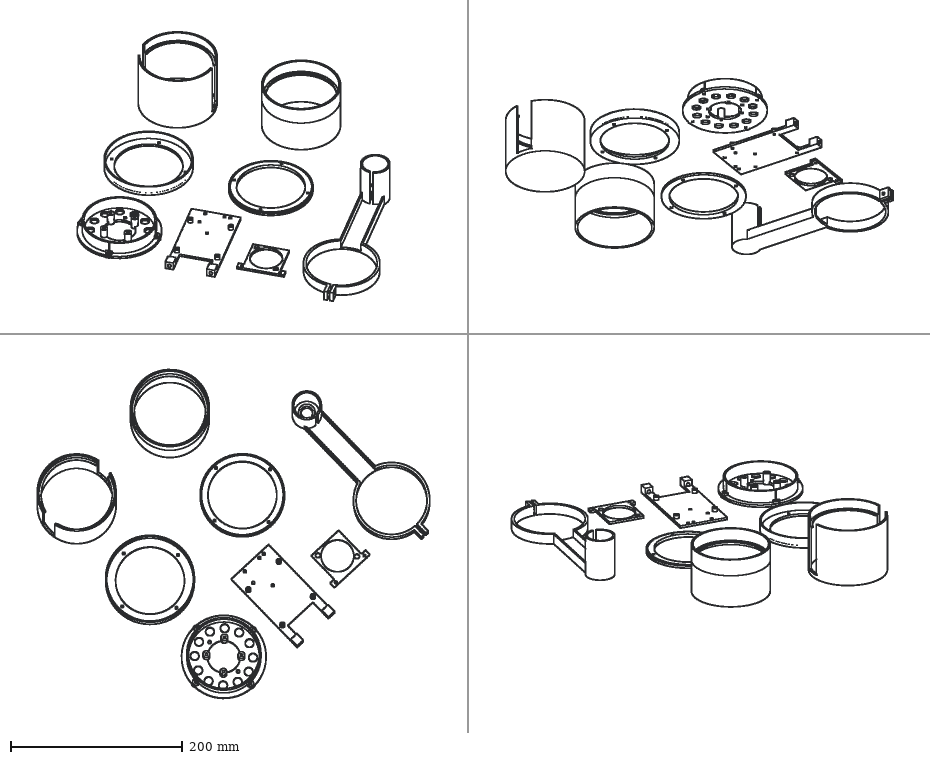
import cadquery as cq
SHEET = 3.0
CAN_OD = 92.5
CAN_BORE = 87.0
SOCKET_DIA = 88.5
LIP_ID = 83.0
LIP_HEIGHT = 1.5
WINDOW_DIA = 80.3
SCREW_DIA = 2.8
SCREW_CIRCLE_R = 44.7
QUARTER_TURNS = (0, 90, 180, 270)

LEFT_X = 52.0
CAN_Y = 306.5
RING_Y = 181.8
BASE_Y = 56.5
SLEEVE_X = 202.0
COVER_X = 200.5


def cylinder(diameter, height, x=0.0, y=0.0, z=0.0):
    """Upright cylinder standing on height z."""
    return cq.Workplane("XY", origin=(x, y, z)).circle(diameter / 2).extrude(height)


def tube(outer, inner, height, z=0.0):
    """Upright tube standing on height z."""
    return cylinder(outer, height, z=z).cut(cylinder(inner, height, z=z))


def box(width, depth, height, x=0.0, y=0.0, z=0.0):
    """Box centred on x and y, standing on height z."""
    return cq.Workplane("XY", origin=(x, y, z)).rect(width, depth).extrude(height)


def around(feature, angles):
    """Copies of a feature turned about the Z axis, joined together."""
    copies = cq.Workplane("XY")
    for angle in angles:
        copies = copies.union(feature.rotate((0, 0, 0), (0, 0, 1), angle))
    return copies


def cut_upper_end(can, top, socket_depth):
    """Put a socket into the upper end of a can, with a narrow lip as its seat."""
    socket_z = top - socket_depth
    can = can.union(tube(CAN_OD, LIP_ID, LIP_HEIGHT, z=socket_z - LIP_HEIGHT))
    return can.cut(cylinder(SOCKET_DIA, socket_depth, z=socket_z))


CUP_HEIGHT = 70.0
CUP_SOCKET_DEPTH = 11.5
CUP_SLOT_WIDTH = 20.0
CUP_SLOT_BOTTOM = 5.0


def make_cup():
    """Closed-bottom can with a socketed rim and a slot through both sides."""
    cup = cylinder(CAN_OD, CUP_HEIGHT)
    cup = cup.cut(cylinder(CAN_BORE, CUP_HEIGHT, z=SHEET))
    cup = cut_upper_end(cup, CUP_HEIGHT, CUP_SOCKET_DEPTH)
    return cup.cut(box(2 * CAN_OD, CUP_SLOT_WIDTH, CUP_HEIGHT, z=CUP_SLOT_BOTTOM))


SLEEVE_HEIGHT = 40.0
COLLAR_HEIGHT = 20.0
COLLAR_SOCKET_DEPTH = 15.0


def make_sleeve():
    """Plain tube under the collar."""
    return tube(CAN_OD, CAN_BORE, SLEEVE_HEIGHT)


def make_collar():
    """Short tube on top of the sleeve, with a socket at its upper end."""
    collar = tube(CAN_OD, CAN_BORE, COLLAR_HEIGHT, z=SLEEVE_HEIGHT)
    return cut_upper_end(collar, SLEEVE_HEIGHT + COLLAR_HEIGHT, COLLAR_SOCKET_DEPTH)


SHELL_OD = 104.0
SHELL_ID = 101.0
SHELL_HEIGHT = 12.5
COVER_OD = 99.0
COVER_STEP_DIA = 95.3
COVER_HEIGHT = 4.0


def ring_screw_holes(height):
    """Cutters for the four screw holes shared by the rings and the base."""
    return around(cylinder(SCREW_DIA, height, x=SCREW_CIRCLE_R), QUARTER_TURNS)


def make_shell_ring():
    """Tray-like ring: a thin upright rim around a flat annular floor."""
    shell = tube(SHELL_OD, WINDOW_DIA, SHELL_HEIGHT)
    shell = shell.cut(cylinder(SHELL_ID, SHELL_HEIGHT, z=SHEET))
    return shell.cut(ring_screw_holes(SHEET))


def make_cover_ring():
    """Flat ring whose upper part steps in to a smaller diameter."""
    cover = tube(COVER_OD, WINDOW_DIA, SHEET)
    cover = cover.union(tube(COVER_STEP_DIA, WINDOW_DIA, COVER_HEIGHT))
    return cover.cut(ring_screw_holes(COVER_HEIGHT))


BASE_DIA = 99.0
BASE_HEIGHT = 18.0
SPIGOT_OD = CAN_BORE
SPIGOT_ID = 83.0
BASE_BORE_DIA = 38.0
BASE_TAB_DIA = 11.0
BASE_BOSS_DIA = 8.0
BASE_BOSS_TOP = 5.5
VENT_DIA = 10.0
VENT_CIRCLE_R = 34.0
VENT_ANGLES = [15 + 30 * i for i in range(12)]
MOTOR_POST_DIA = 8.0
MOTOR_POST_CIRCLE_R = 20.5
MOTOR_POST_TOP = 14.0
DIAGONALS = (45, 135, 225, 315)
CABLE_HOLE_DIA = 3.5
CABLE_HOLE_Y = 24.2


def make_base():
    """Vented flange carrying an upright spigot wall, screw bosses and four posts."""
    base = cylinder(BASE_DIA, SHEET)
    base = base.union(around(cylinder(BASE_TAB_DIA, SHEET, x=SCREW_CIRCLE_R), QUARTER_TURNS))
    bosses = around(cylinder(BASE_BOSS_DIA, BASE_BOSS_TOP, x=SCREW_CIRCLE_R), QUARTER_TURNS)
    base = base.union(bosses.cut(cylinder(SPIGOT_ID, BASE_BOSS_TOP)))
    base = base.union(tube(SPIGOT_OD, SPIGOT_ID, BASE_HEIGHT))
    base = base.cut(ring_screw_holes(BASE_HEIGHT))
    base = base.cut(cylinder(BASE_BORE_DIA, SHEET))
    base = base.cut(around(cylinder(VENT_DIA, SHEET, x=VENT_CIRCLE_R), VENT_ANGLES))
    base = base.union(around(cylinder(MOTOR_POST_DIA, MOTOR_POST_TOP, x=MOTOR_POST_CIRCLE_R), DIAGONALS))
    base = base.cut(around(cylinder(SCREW_DIA, MOTOR_POST_TOP, x=MOTOR_POST_CIRCLE_R), DIAGONALS))
    return base.cut(around(cylinder(CABLE_HOLE_DIA, SHEET, y=CABLE_HOLE_Y), (0, 180)))


PLATE_X = 152.0
PLATE_WIDTH = 60.0
PLATE_BOTTOM_Y = 6.0
PLATE_LENGTH = 112.0
LEG_WIDTH = 10.0
LEG_LENGTH = 26.5
FOOT_LENGTH = 11.0
FOOT_HEIGHT = 10.0
FOOT_HOLE_DIA = 4.0
FOOT_HOLE_Z = 4.8
FOOT_HOLE_DEPTH = 12.0
BOARD_POST_DIA = 6.0
BOARD_POST_TOP = 7.0
BOARD_HOLES_X = 49.0
BOARD_HOLES_Y = 58.0
BOARD_HOLES_FIRST_Y = 36.5
PLATE_HOLE_DIA = 3.2
PLATE_HOLES = [(-12.0, 113.5), (11.5, 113.5), (18.5, 113.5), (-14.3, 97.0), (0.0, 79.0)]


def make_plate():
    """Plate with board posts and two legs that end in drilled feet."""
    leg_x = (PLATE_WIDTH - LEG_WIDTH) / 2
    plate = box(PLATE_WIDTH, PLATE_LENGTH, SHEET, y=PLATE_BOTTOM_Y + PLATE_LENGTH / 2)
    notch_width = PLATE_WIDTH - 2 * LEG_WIDTH
    plate = plate.cut(box(notch_width, LEG_LENGTH, SHEET, y=PLATE_BOTTOM_Y + LEG_LENGTH / 2))
    for x in (-leg_x, leg_x):
        plate = plate.union(box(LEG_WIDTH, FOOT_LENGTH, FOOT_HEIGHT, x=x, y=PLATE_BOTTOM_Y + FOOT_LENGTH / 2))
        hole = cq.Workplane("XZ", origin=(x, PLATE_BOTTOM_Y, FOOT_HOLE_Z))
        plate = plate.cut(hole.circle(FOOT_HOLE_DIA / 2).extrude(-FOOT_HOLE_DEPTH))
    for x in (-BOARD_HOLES_X / 2, BOARD_HOLES_X / 2):
        for y in (BOARD_HOLES_FIRST_Y, BOARD_HOLES_FIRST_Y + BOARD_HOLES_Y):
            plate = plate.union(cylinder(BOARD_POST_DIA, BOARD_POST_TOP, x=x, y=y))
            plate = plate.cut(cylinder(SCREW_DIA, BOARD_POST_TOP, x=x, y=y))
    for x, y in PLATE_HOLES:
        plate = plate.cut(cylinder(PLATE_HOLE_DIA, SHEET, x=x, y=y))
    return plate


FAN_X = 231.3
FAN_BOTTOM_Y = 28.0
FAN_WIDTH = 44.0
FAN_LENGTH = 46.0
FAN_BORE_DIA = 38.0
FAN_BORE_Y = 25.0
FAN_SCREW_DIA = 5.5
FAN_SCREW_OFFSET = 16.0
FAN_BAR_WIDTH = 57.0
FAN_BAR_LENGTH = 7.5
FAN_TAB_HOLE_X = 23.0
FAN_TAB_HOLE_Y = 3.3


def make_fan_mount():
    """Flat fan frame on a wider bar with a screw hole in each end."""
    mount = box(FAN_WIDTH, FAN_LENGTH, SHEET, y=FAN_LENGTH / 2)
    mount = mount.union(box(FAN_BAR_WIDTH, FAN_BAR_LENGTH, SHEET, y=FAN_BAR_LENGTH / 2))
    mount = mount.cut(cylinder(FAN_BORE_DIA, SHEET, y=FAN_BORE_Y))
    for side in (-1, 1):
        screw_y = FAN_BORE_Y - side * FAN_SCREW_OFFSET
        mount = mount.cut(cylinder(FAN_SCREW_DIA, SHEET, x=side * FAN_SCREW_OFFSET, y=screw_y))
        mount = mount.cut(cylinder(SCREW_DIA, SHEET, x=side * FAN_TAB_HOLE_X, y=FAN_TAB_HOLE_Y))
    return mount


CLAMP_OD = 89.5
CLAMP_ID = 83.0
CLAMP_X = 321.8
CLAMP_Y = 56.5
CLAMP_HEIGHT = 12.5
CLAMP_GAP = 3.0
LUG_WIDTH = 4.0
LUG_HOLE_DIA = 3.5
LUG_HOLE_Y = 7.0
ARM_WIDTH = 28.0
ARM_WALL = 2.0
HOLDER_Y = 144.0
HOLDER_OD = 34.5
HOLDER_WALL = 2.2
HOLDER_HEIGHT = 50.0
HOLDER_SLOT = 4.0
CORE_OD = 19.5
CORE_ID = 14.0
CORE_HEIGHT = CLAMP_HEIGHT


def make_arm():
    """Split clamp ring joined by a channel-shaped arm to a slotted tubular holder."""
    clamp_bore = cylinder(CLAMP_ID, CLAMP_HEIGHT)
    channel_width = ARM_WIDTH - 2 * ARM_WALL
    lug_block = box(2 * LUG_WIDTH + CLAMP_GAP, CLAMP_Y, CLAMP_HEIGHT, y=-CLAMP_Y / 2)
    arm = box(ARM_WIDTH, HOLDER_Y, CLAMP_HEIGHT, y=HOLDER_Y / 2)
    arm = arm.union(cylinder(CLAMP_OD, CLAMP_HEIGHT)).union(lug_block).cut(clamp_bore)
    arm = arm.cut(box(channel_width, HOLDER_Y, CLAMP_HEIGHT, y=HOLDER_Y / 2, z=SHEET))
    arm = arm.cut(box(CLAMP_GAP, CLAMP_Y, CLAMP_HEIGHT, y=-CLAMP_Y / 2))
    lug_hole = cq.Workplane("YZ", origin=(0, LUG_HOLE_Y - CLAMP_Y, CLAMP_HEIGHT / 2))
    arm = arm.cut(lug_hole.circle(LUG_HOLE_DIA / 2).extrude(ARM_WIDTH, both=True))

    inner_dia = HOLDER_OD - 2 * HOLDER_WALL
    holder = tube(HOLDER_OD, inner_dia, HOLDER_HEIGHT).union(tube(CORE_OD, CORE_ID, CORE_HEIGHT))
    holder = holder.cut(box(HOLDER_SLOT, HOLDER_OD, HOLDER_HEIGHT, y=-HOLDER_OD / 2))
    holder = holder.union(cylinder(HOLDER_OD, SHEET)).translate((0, HOLDER_Y, 0))
    arm = arm.cut(cylinder(HOLDER_OD, HOLDER_HEIGHT, y=HOLDER_Y))
    return arm.union(holder)


cup = make_cup().translate((LEFT_X, CAN_Y, 0))
sleeve = make_sleeve().translate((SLEEVE_X, CAN_Y, 0))
collar = make_collar().translate((SLEEVE_X, CAN_Y, 0))
shell_ring = make_shell_ring().translate((LEFT_X, RING_Y, 0))
cover_ring = make_cover_ring().translate((COVER_X, RING_Y, 0))
base = make_base().translate((LEFT_X, BASE_Y, 0))
plate = make_plate().translate((PLATE_X, 0, 0))
fan_mount = make_fan_mount().translate((FAN_X, FAN_BOTTOM_Y, 0))
clamp_arm = make_arm().translate((CLAMP_X, CLAMP_Y, 0))

bodies = [cup, sleeve, collar, shell_ring, cover_ring, base, plate, fan_mount, clamp_arm]
result = cq.Compound.makeCompound([body.val() for body in bodies])